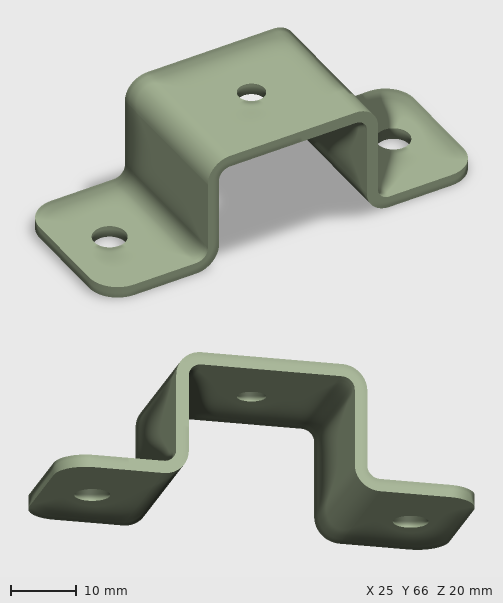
import cadquery as cq

length = 66.0
width = 25.0
height = 20.0
thickness = 2.0

channel_width = 30.0
inner_bend_radius = 2.0
outer_bend_radius = inner_bend_radius + thickness

corner_radius = 5.0
mount_hole_diameter = 5.5
mount_hole_spacing = 50.0
center_hole_diameter = 4.5

half_length = length / 2
outer_wall = channel_width / 2
inner_wall = outer_wall - thickness


def bent_strip():
    """Hat-shaped strip, extruded across its width with sharp bends then rounded."""
    outline = [
        (-half_length, 0),
        (-inner_wall, 0),
        (-inner_wall, height - thickness),
        (inner_wall, height - thickness),
        (inner_wall, 0),
        (half_length, 0),
        (half_length, thickness),
        (outer_wall, thickness),
        (outer_wall, height),
        (-outer_wall, height),
        (-outer_wall, thickness),
        (-half_length, thickness),
    ]
    strip = cq.Workplane("YZ").polyline(outline).close().extrude(width / 2, both=True)
    for side in (-1, 1):
        outside_bends = [(side * inner_wall, 0), (side * outer_wall, height)]
        inside_bends = [(side * outer_wall, thickness), (side * inner_wall, height - thickness)]
        strip = round_bends(strip, outside_bends, outer_bend_radius)
        strip = round_bends(strip, inside_bends, inner_bend_radius)
    return strip


def round_bends(strip, bends, radius):
    """Fillet the edges along X that pass through the given (y, z) points."""
    for y, z in bends:
        edge = strip.edges("|X").edges(cq.selectors.NearestToPointSelector((0, y, z)))
        strip = edge.fillet(radius)
    return strip


def vertical_holes(diameter, y_positions):
    """Cylinders through the full bracket height, on the center line."""
    points = [(0, y) for y in y_positions]
    return cq.Workplane("XY").pushPoints(points).circle(diameter / 2).extrude(height)


plan = cq.Workplane("XY").rect(width, length).extrude(height).edges("|Z").fillet(corner_radius)

mount_holes = vertical_holes(mount_hole_diameter, (-mount_hole_spacing / 2, mount_hole_spacing / 2))
center_hole = vertical_holes(center_hole_diameter, (0,))

result = bent_strip().intersect(plan).cut(mount_holes).cut(center_hole)